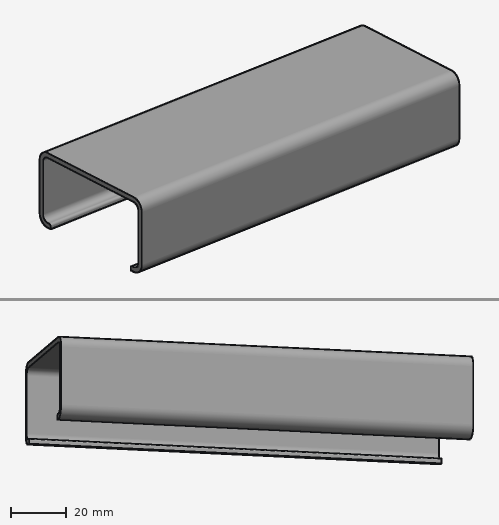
import cadquery as cq

length = 152.4
width = 55.6
height = 30.2

thickness = 2.0
outer_radius = 4.4
inner_radius = outer_radius - thickness
lip_reach = 6.1
lip_edge_radius = 0.9


def rounded_bar(bar_width, bar_height, corner_radius):
    """Bar along Y, centred on the origin, with its four long edges rounded."""
    return cq.Workplane("XY").box(bar_width, length, bar_height).edges("|Y").fillet(corner_radius)


outside = rounded_bar(width, height, outer_radius)
inside = rounded_bar(width - 2 * thickness, height - 2 * thickness, inner_radius)
tube = outside.cut(inside)

opening_width = width - 2 * lip_reach
opening = cq.Workplane("XY").box(opening_width, length, height / 2).translate((0, 0, -height / 2))

channel = tube.cut(opening)

lip_top = -height / 2 + thickness
edge_probe = cq.selectors.BoxSelector(
    (-opening_width / 2 - lip_edge_radius, -length, lip_top - lip_edge_radius),
    (opening_width / 2 + lip_edge_radius, length, lip_top + lip_edge_radius),
)
result = channel.edges("|Y").edges(edge_probe).fillet(lip_edge_radius)